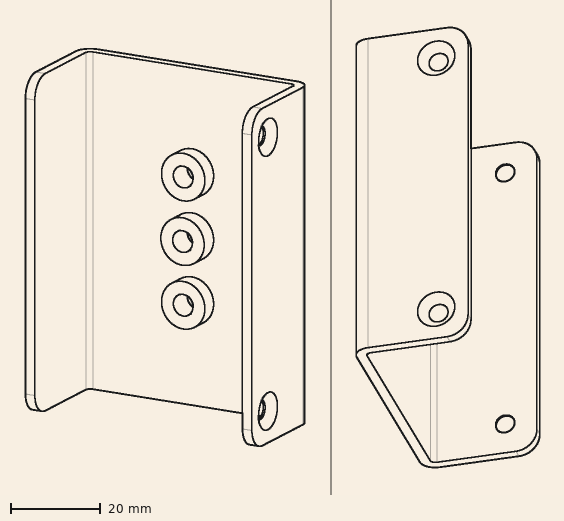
import cadquery as cq

width = 57.9
depth = 26.9
height = 78.7
wall = 2.45
inner_bend_radius = 1.2
outer_bend_radius = inner_bend_radius + wall
flange_corner_radius = 4.9

boss_diameter = 11.1
boss_bore = 5.0
middle_boss_height = 4.3
outer_boss_height = 4.0
boss_spacing = 14.95

seat_inset = 7.4
seat_outer_diameter = 8.65
seat_inner_diameter = 4.4
seat_depth = 2.0

outer_x = width / 2
back_y = depth / 2
inner_back_y = back_y - wall
front_y = -depth / 2
seat_y = front_y + seat_inset
seat_z = height / 2 - seat_inset


def make_channel():
    """U-shaped channel with rounded bends and rounded free flange corners."""
    outside = (
        cq.Workplane("XY")
        .box(width, depth, height)
        .edges("|Z and >Y")
        .fillet(outer_bend_radius)
    )
    inside = (
        cq.Workplane("XY")
        .box(width - 2 * wall, depth, height)
        .edges("|Z and >Y")
        .fillet(inner_bend_radius)
        .translate((0, -wall, 0))
    )
    return outside.cut(inside).edges("|X and <Y").fillet(flange_corner_radius)


def y_cylinder(diameter, start_y, length, z):
    """Cylinder on the centre plane, running from start_y towards -Y."""
    return cq.Workplane("XZ", origin=(0, start_y, z)).circle(diameter / 2).extrude(length)


def countersink(side, z):
    """Cone narrowing inwards from the outer face of the flange on the given side (-1 or 1)."""
    cone = cq.Solid.makeCone(
        seat_outer_diameter / 2,
        seat_inner_diameter / 2,
        seat_depth,
        pnt=cq.Vector(side * outer_x, seat_y, z),
        dir=cq.Vector(-side, 0, 0),
    )
    return cq.Workplane(obj=cone)


def through_hole(z):
    """Screw hole through the flange on the +X side."""
    return (
        cq.Workplane("YZ", origin=(outer_x - wall, seat_y, z))
        .circle(seat_inner_diameter / 2)
        .extrude(wall)
    )


result = make_channel()

bosses = (
    (-boss_spacing, outer_boss_height),
    (0, middle_boss_height),
    (boss_spacing, outer_boss_height),
)
for boss_z, boss_height in bosses:
    result = result.union(y_cylinder(boss_diameter, inner_back_y, boss_height, boss_z))
    result = result.cut(y_cylinder(boss_bore, back_y, wall + boss_height, boss_z))

for z in (-seat_z, seat_z):
    for side in (-1, 1):
        result = result.cut(countersink(side, z))
    result = result.cut(through_hole(z))